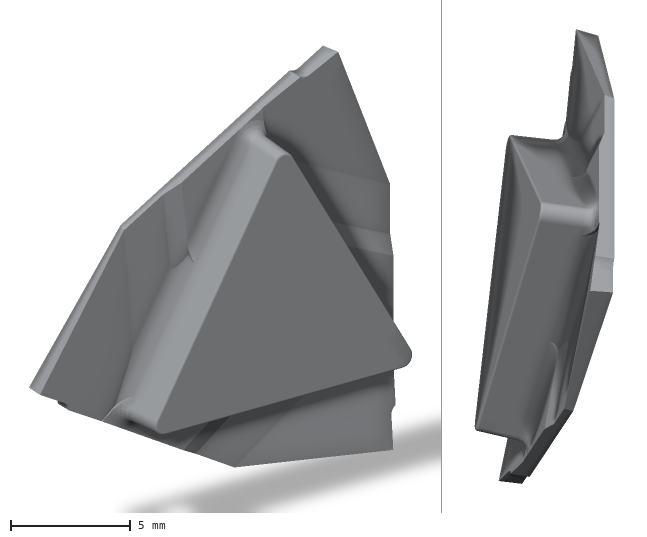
import cadquery as cq
import math

COUNT = 3
STEP_ANGLE = 360 / COUNT

EDGE_DISTANCE = 7.1
TIP_SETBACK = 0.23
TIP_REACH = 8.687
CORNER_REACH = 3.22
NOTCH_RADIUS = 0.5
NOTCH_START = 7.165
RELIEF_ANGLE = 7.0

TIP_HEIGHT = 0.98
FLOOR_HEIGHT = 0.41
RIDGE_HEIGHT = 0.65

RAKE_RUN = 4.1
RAKE_END_HEIGHT = 0.6
RAKE_BLOCK = 60.0

RIDGE_TILT = 6.0
RIDGE_START = 1.0
RIDGE_LENGTH = 12.0
RIDGE_WALL = 1.38
RIDGE_SHOULDER = -2.93
RIDGE_FOOT = -3.75

TOTAL_HEIGHT = 3.0
BOSS_CORNER_RADIUS = 0.5
BOSS_INRADIUS = 4.03
BOSS_DRAFT = 2.0
RIDGE_FOOT_RADIUS = 0.5
FLOOR_FOOT_RADIUS = 0.65
BOSS_RIM_RADIUS = 0.1


def turned(point, index):
    """Rotate a (y, z) point about the axis by a number of thirds of a turn."""
    angle = math.radians(STEP_ANGLE * index)
    y, z = point
    return (y * math.cos(angle) - z * math.sin(angle), y * math.sin(angle) + z * math.cos(angle))


TIP_EDGE = EDGE_DISTANCE - TIP_SETBACK
TIP = (TIP_EDGE, -TIP_REACH)
CORNER = (EDGE_DISTANCE, CORNER_REACH)
NEXT_TIP = turned(TIP, 1)
FLANK_ANGLE = math.atan2(NEXT_TIP[1] - CORNER[1], NEXT_TIP[0] - CORNER[0])
RELIEF = math.tan(math.radians(RELIEF_ANGLE))
FLANK_TO_LONG_EDGE = FLANK_ANGLE - math.pi / 2
FLANK_TO_TIP_EDGE = math.radians(90 + STEP_ANGLE) - FLANK_ANGLE


def outline(height):
    """Closed plate outline at a height; the leaning flanks sit further out the higher it is."""
    tip_reach = TIP_REACH + (height - TIP_HEIGHT) * RELIEF / math.sin(FLANK_TO_TIP_EDGE)
    corner_reach = CORNER_REACH + (height - FLOOR_HEIGHT) * RELIEF / math.sin(FLANK_TO_LONG_EDGE)
    sweep = math.acos(1 - TIP_SETBACK / NOTCH_RADIUS)

    def notch_point(angle):
        y = TIP_EDGE + NOTCH_RADIUS * (1 - math.cos(angle))
        z = -NOTCH_START + NOTCH_RADIUS * math.sin(angle)
        return (y, z)

    path = cq.Workplane("YZ", origin=(height, 0, 0)).moveTo(TIP_EDGE, -tip_reach)
    for index in range(COUNT):
        path = path.lineTo(*turned((TIP_EDGE, -NOTCH_START), index))
        path = path.threePointArc(turned(notch_point(sweep / 2), index), turned(notch_point(sweep), index))
        path = path.lineTo(*turned((EDGE_DISTANCE, corner_reach), index))
        if index < COUNT - 1:
            path = path.lineTo(*turned((TIP_EDGE, -tip_reach), index + 1))
    return path.close().val()


def around_axis(shape):
    """The shape repeated at each third of a turn."""
    return [shape.rotate((0, 0, 0), (1, 0, 0), STEP_ANGLE * index) for index in range(COUNT)]


def rake_block():
    """Block whose top is the rake face at the tip, through the tip, the flank end and the tip edge."""
    tip = cq.Vector(TIP_HEIGHT, *TIP)
    flank_end = cq.Vector(FLOOR_HEIGHT, *turned(CORNER, -1))
    edge_point = cq.Vector(RAKE_END_HEIGHT, TIP_EDGE, RAKE_RUN - TIP_REACH)
    along_flank = flank_end - tip
    normal = (edge_point - tip).cross(along_flank)
    plane = cq.Plane(origin=tip, xDir=along_flank, normal=normal)
    return cq.Workplane(plane).rect(RAKE_BLOCK, RAKE_BLOCK).extrude(-RAKE_BLOCK)


def ridge():
    """Low ridge with one steep and one sloped side."""
    section = [
        (0, RIDGE_WALL),
        (RIDGE_HEIGHT, RIDGE_WALL),
        (RIDGE_HEIGHT, RIDGE_SHOULDER),
        (FLOOR_HEIGHT, RIDGE_FOOT),
        (0, RIDGE_FOOT),
    ]
    body = cq.Workplane("XY", origin=(0, 0, RIDGE_START)).polyline(section).close().extrude(RIDGE_LENGTH)
    return body.rotate((0, 0, 0), (1, 0, 0), RIDGE_TILT)


def plate():
    """Plate with its floor, rake faces and ridges."""
    blank = cq.Workplane(cq.Solid.makeLoft([outline(0), outline(TIP_HEIGHT)], True))
    body = blank.intersect(slab(0, FLOOR_HEIGHT))
    for raised in around_axis(rake_block()) + around_axis(ridge()):
        body = body.union(blank.intersect(raised))
    return body


def boss():
    """Drafted triangular boss with rounded corners, starting at the back of the plate."""
    inradius = BOSS_INRADIUS + TIP_HEIGHT * math.tan(math.radians(BOSS_DRAFT))
    corners = [turned((0, 2 * inradius), index) for index in range(COUNT)]
    body = cq.Workplane("YZ").polyline(corners).close().extrude(TOTAL_HEIGHT, taper=BOSS_DRAFT)
    body = body.edges("not(<X or >X)").fillet(BOSS_CORNER_RADIUS)
    return body.faces(">X").edges().fillet(BOSS_RIM_RADIUS)


def slab(bottom, top):
    """Square slab wider than the plate, between two heights."""
    size = 4 * EDGE_DISTANCE
    return cq.Workplane("YZ", origin=(bottom, 0, 0)).rect(size, size).extrude(top - bottom)


def boss_foot(level, radius):
    """Boss above a flat ground at the given height, with the concave blend around its foot."""
    body = slab(0, level).union(boss())
    ground = body.faces(cq.NearestToPointSelector((level, 0, 0))).val()
    body = body.newObject(ground.innerWires()[0].Edges()).fillet(radius)
    return body.cut(slab(0, level))


def ridge_zone():
    """Column above a ridge, as wide as its flat top."""
    width = RIDGE_WALL - RIDGE_SHOULDER
    middle = (RIDGE_WALL + RIDGE_SHOULDER) / 2
    section = cq.Workplane("XY", origin=(0, middle, RIDGE_START)).rect(2 * TOTAL_HEIGHT, width)
    return section.extrude(RIDGE_LENGTH).rotate((0, 0, 0), (1, 0, 0), RIDGE_TILT)


def part():
    """Plate and boss joined, with the blend at the foot starting from the floor and from the ridges."""
    plan = cq.Workplane("YZ").add(outline(0)).toPending().extrude(TOTAL_HEIGHT)
    floor_foot = boss_foot(FLOOR_HEIGHT, FLOOR_FOOT_RADIUS).intersect(plan)
    body = plate().union(boss()).union(floor_foot)
    ridge_foot = boss_foot(RIDGE_HEIGHT, RIDGE_FOOT_RADIUS)
    for zone in around_axis(ridge_zone()):
        body = body.union(ridge_foot.intersect(zone))
    return body


result = part()